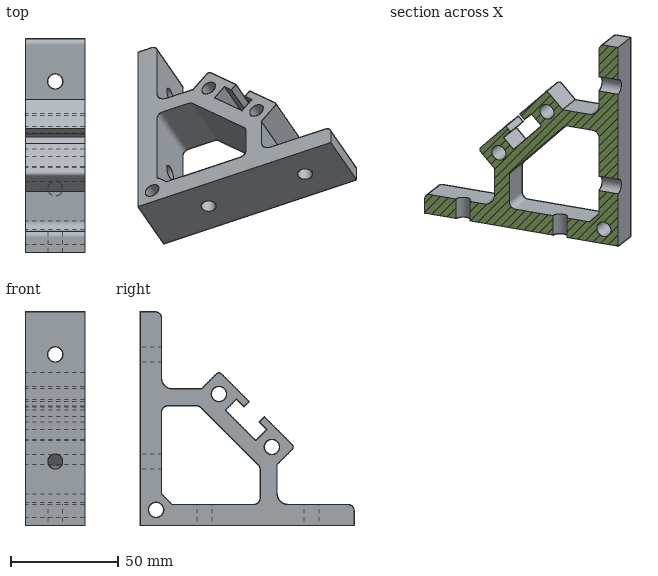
import cadquery as cq
import math

width = 28.0
leg_length = 100.0
leg_thickness = 10.0
leg_end_radius = 3.0

frame_outer = 64.0
frame_wall = 8.0
frame_inner = frame_outer - frame_wall
outer_fillet = 5.0
window_fillet = 3.0
window_chamfer = 4.8

block_length = 50.0
block_face = 77.0
block_thickness = 18.0
block_back = block_face - block_thickness
block_corner_radius = 1.5

slot_opening = 10.0
slot_width = 20.0
slot_lip = 3.5
slot_depth = 10.7

hole_diameter = 7.0
leg_hole_positions = (30.0, 80.0)
corner_hole_offset = 7.4
block_hole_spacing = 35.0
block_hole_depth = 7.5


def on_diagonal(distance, along):
    """Turn (distance from corner, position along the block) into (Y, Z)."""
    return ((distance - along) / math.sqrt(2), (distance + along) / math.sqrt(2))


def prism(points):
    """Extrude a closed (Y, Z) outline over the full width."""
    return cq.Workplane("YZ").polyline(points).close().extrude(width / 2, both=True)


def diagonal_bar(near, far, length):
    """Bar lying along the diagonal block, centred on the symmetry plane."""
    half = length / 2
    corners = [(near, -half), (far, -half), (far, half), (near, half)]
    return prism([on_diagonal(*corner) for corner in corners])


def edge_at(y, z):
    """Selector for the X-parallel edge that passes through (Y, Z)."""
    return cq.selectors.NearestToPointSelector((0, y, z))


def round_edges(body, points, radius):
    """Round the X-parallel edge at each (Y, Z) point."""
    for point in points:
        body = body.edges("|X").edges(edge_at(*point)).fillet(radius)
    return body


block_end_step = block_length / math.sqrt(2)
neck = frame_outer - block_end_step
legs = prism([
    (0, 0), (leg_length, 0), (leg_length, leg_thickness),
    (leg_thickness, leg_thickness), (leg_thickness, leg_length), (0, leg_length),
])
frame = prism([(0, 0), (frame_outer, 0), (frame_outer, neck), (neck, frame_outer), (0, frame_outer)])
block_root = (frame_outer + neck) / math.sqrt(2)
block = diagonal_bar(block_root, block_face, block_length)
body = legs.union(frame).union(block).clean()

leg_ends = [(leg_length, leg_thickness), (leg_thickness, leg_length)]
frame_roots = [(frame_outer, leg_thickness), (leg_thickness, frame_outer)]
block_corners = [on_diagonal(block_face, side * block_length / 2) for side in (-1, 1)]
body = round_edges(body, leg_ends, leg_end_radius)
body = round_edges(body, frame_roots, outer_fillet)
body = round_edges(body, block_corners, block_corner_radius)

window_reach = block_back * math.sqrt(2) - frame_inner
chamfer_end = leg_thickness + window_chamfer
window_corners = [
    (frame_inner, leg_thickness), (frame_inner, window_reach),
    (window_reach, frame_inner), (leg_thickness, frame_inner),
]
window = prism([(chamfer_end, leg_thickness)] + window_corners + [(leg_thickness, chamfer_end)])
body = body.cut(round_edges(window, window_corners, window_fillet))

slot_floor = block_face - slot_depth
body = body.cut(diagonal_bar(slot_floor, block_face + slot_lip, slot_opening))
body = body.cut(diagonal_bar(slot_floor, block_face - slot_lip, slot_width))

cross_holes = [(corner_hole_offset, corner_hole_offset)]
for side in (-1, 1):
    cross_holes.append(on_diagonal(block_face - block_hole_depth, side * block_hole_spacing / 2))
body = body.cut(
    cq.Workplane("YZ").pushPoints(cross_holes).circle(hole_diameter / 2).extrude(width / 2, both=True)
)

base_axis = cq.Vector(0, 0, 1)
wall_axis = cq.Vector(0, 1, 0)
hole_radius = hole_diameter / 2
for position in leg_hole_positions:
    base_start = wall_axis * position
    wall_start = base_axis * position
    base_hole = cq.Solid.makeCylinder(hole_radius, leg_thickness, base_start, base_axis)
    wall_hole = cq.Solid.makeCylinder(hole_radius, leg_thickness, wall_start, wall_axis)
    body = body.cut(cq.Workplane(base_hole)).cut(cq.Workplane(wall_hole))

result = body